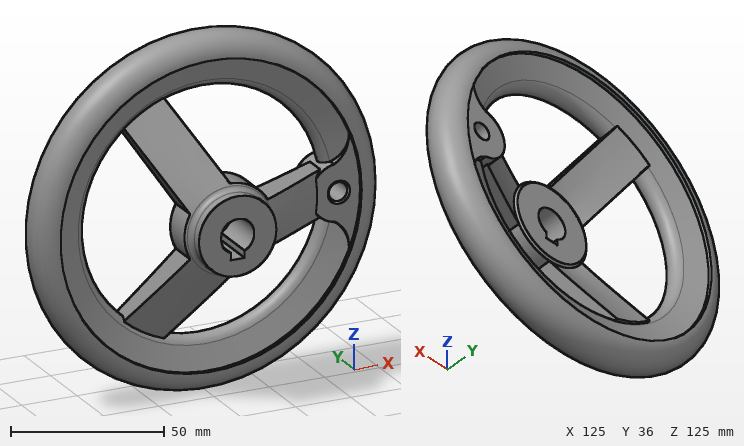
import cadquery as cq
import math

wheel_radius = 62.5
rim_round = 8.0
grip_centre = wheel_radius - rim_round
lip_depth = 1.4
web_half = rim_round - lip_depth
rim_bore_radius = 43.4
bead_radius = 4.0

hub_front = -28.0
hub_back = -10.0
hub_collar = -24.5
collar_radius = 15.5
collar_y = -22.2
nose_radius = 14.0
hub_radius = 16.2
hub_chamfer = 0.9
shoulder_round = 2.1
bore_diameter = 12.0
key_width = 5.0
key_reach = 8.0

spoke_count = 3
spoke_width = 16.7
spoke_end = 45.6
spoke_front_slope = 0.665
spoke_back_slope = 0.54

boss_x = 46.9
boss_radius = 10.2
flare_start_angle = 100.0
flare_mid = (49.0, 13.7)
flare_end_z = 20.7
boss_reach = 56.2
handle_hole = 6.6
handle_countersink = 8.0


def make_rim():
    """Revolve the grip, the two conical web faces and the inner bead about Y."""
    bead_x = rim_bore_radius + bead_radius
    run = grip_centre - bead_x
    tangent_angle = math.atan2(web_half, run) + math.acos(bead_radius / math.hypot(run, web_half))
    tangent_x = bead_x + bead_radius * math.cos(tangent_angle)
    tangent_y = bead_radius * math.sin(tangent_angle)
    return (
        cq.Workplane("XY")
        .moveTo(grip_centre, -rim_round)
        .threePointArc((wheel_radius, 0), (grip_centre, rim_round))
        .lineTo(grip_centre, web_half)
        .lineTo(tangent_x, tangent_y)
        .threePointArc((rim_bore_radius, 0), (tangent_x, -tangent_y))
        .lineTo(grip_centre, -web_half)
        .close()
        .revolve(360, (0, 0, 0), (0, 1, 0))
    )


def make_hub_and_spokes():
    """Revolve the hub and a conical dish as one body, then keep the hub and the spoke strips."""
    spoke_back_end = hub_back - hub_chamfer + spoke_back_slope * (spoke_end - hub_radius)
    dish = (
        cq.Workplane("XY")
        .moveTo(0, hub_front)
        .lineTo(nose_radius, hub_front)
        .lineTo(nose_radius, hub_collar)
        .radiusArc((collar_radius, collar_y), shoulder_round)
        .lineTo(spoke_end, collar_y + spoke_front_slope * (spoke_end - collar_radius))
        .lineTo(spoke_end, spoke_back_end)
        .lineTo(hub_radius, hub_back - hub_chamfer)
        .lineTo(hub_radius - hub_chamfer, hub_back)
        .lineTo(0, hub_back)
        .close()
        .revolve(360, (0, 0, 0), (0, 1, 0))
    )
    half_depth = wheel_radius / 2
    keep = cq.Workplane("XZ").circle(hub_radius).extrude(half_depth, both=True)
    strip = cq.Workplane("XY").box(
        wheel_radius, 2 * half_depth, spoke_width, centered=(False, True, True)
    )
    for index in range(spoke_count):
        keep = keep.union(strip.rotate((0, 0, 0), (0, 1, 0), index * 360 / spoke_count))
    return dish.intersect(keep)


def make_handle_boss():
    """Round boss whose sides flare out into the rim."""
    angle = math.radians(flare_start_angle)
    start_x = boss_x + boss_radius * math.cos(angle)
    start_z = boss_radius * math.sin(angle)
    end_x = math.sqrt(grip_centre**2 - flare_end_z**2)
    reach_x = math.sqrt(boss_reach**2 - flare_end_z**2)
    mid_x, mid_z = flare_mid
    outline = (
        cq.Workplane("XZ")
        .moveTo(start_x, start_z)
        .threePointArc((boss_x - boss_radius, 0), (start_x, -start_z))
        .threePointArc((mid_x, -mid_z), (end_x, -flare_end_z))
        .lineTo(reach_x, -flare_end_z)
        .threePointArc((boss_reach, 0), (reach_x, flare_end_z))
        .lineTo(end_x, flare_end_z)
        .threePointArc((mid_x, mid_z), (start_x, start_z))
        .close()
    )
    return outline.extrude(web_half, both=True)


def make_bore():
    """Shaft bore with a keyway on its -Z side."""
    depth = hub_back - hub_front
    front = cq.Workplane("XZ", origin=(0, hub_back, 0))
    bore = front.circle(bore_diameter / 2).extrude(depth)
    keyway = front.center(0, -key_reach / 2).rect(key_width, key_reach).extrude(depth)
    return bore.union(keyway)


def make_handle_hole():
    """Through hole with a 45 degree countersink at the front."""
    hole_radius = handle_hole / 2
    sink_radius = handle_countersink / 2
    return (
        cq.Workplane("XY")
        .moveTo(boss_x, -web_half)
        .lineTo(boss_x + sink_radius, -web_half)
        .lineTo(boss_x + hole_radius, -web_half + sink_radius - hole_radius)
        .lineTo(boss_x + hole_radius, web_half)
        .lineTo(boss_x, web_half)
        .close()
        .revolve(360, (boss_x, 0, 0), (boss_x, 1, 0))
    )


wheel = make_rim().union(make_hub_and_spokes()).union(make_handle_boss())
result = wheel.cut(make_bore()).cut(make_handle_hole())